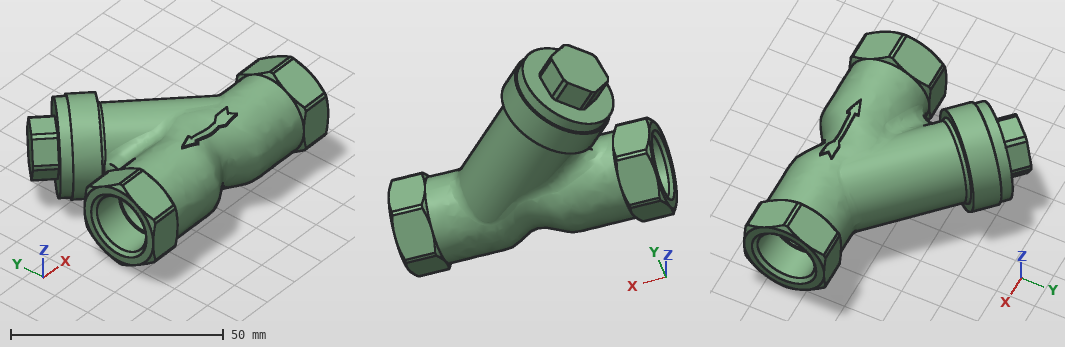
import cadquery as cq
import math


hexagon_half_angle = 30.0

run_length = 64.5
run_diameter = 21.0
wave_half_length = 9.0
wave_rise = 4.0
wave_steps = 8
straight_steps = 6

end_hex_length = 9.0
end_hex_flats = run_diameter
end_hex_corner_diameter = 23.75
end_hex_chamfer_angle = 30.0

passage_diameter = 13.9
port_diameter = 14.95
port_mouth_diameter = 16.9
port_mouth_angle = 45.0
port_depth = 9.0
plunger_diameter = passage_diameter
plunger_start = 2.95

branch_angle = 45.0
branch_foot_x = 11.8
branch_diameter = 20.0
branch_blend_radius = 3.9
collar_start = 33.2
collar_diameter = 25.0
collar_length = 6.9
shoulder_diameter = run_diameter
shoulder_length = 0.95
cap_disc_diameter = 24.0
cap_disc_length = 2.95
cap_hex_flats = 13.55
cap_hex_corner_diameter = 14.95
cap_hex_length = 6.1

arrow_height = 0.4
arrow_tip_x = -10.4
arrow_head_length = 4.25
arrow_head_half_width = 1.55
arrow_shaft_half_width = 0.65
arrow_tail_x = 8.1
arrow_tail_length = 5.6
arrow_tail_notch = 1.5
arrow_center_y = -1.1

run_end = run_length / 2
barrel_end = run_end - end_hex_length
branch_lean = math.radians(branch_angle)
branch_plane = cq.Plane(
    origin=(branch_foot_x, 0, 0),
    xDir=(math.sin(branch_lean), math.cos(branch_lean), 0),
    normal=(-math.cos(branch_lean), math.sin(branch_lean), 0),
)


def across_corners(across_flats):
    return across_flats / math.cos(math.radians(hexagon_half_angle))


def cylinder_x(diameter, start, end):
    return cq.Workplane("YZ").workplane(offset=start).circle(diameter / 2).extrude(end - start)


def on_branch(height):
    """Workplane square to the branch axis at a distance along it."""
    return cq.Workplane(branch_plane).workplane(offset=height)


def waved_run(diameter, half_length):
    """Round bar along X whose middle rises toward +Y in a smooth wave."""
    wave_pitch = 2 * wave_half_length / wave_steps
    straight_pitch = (half_length - wave_half_length) / straight_steps
    wave_stations = [-wave_half_length + wave_pitch * step for step in range(wave_steps + 1)]
    right_stations = [wave_half_length + straight_pitch * step for step in range(1, straight_steps + 1)]
    left_stations = [-x for x in reversed(right_stations)]

    sections = []
    for x in left_stations + wave_stations + right_stations:
        rise_fraction = 0.0
        if abs(x) < wave_half_length:
            rise_fraction = (1 + math.cos(math.pi * x / wave_half_length)) / 2
        section_plane = cq.Plane(
            origin=(x, wave_rise * rise_fraction, 0),
            xDir=(0, -1, 0),
            normal=(1, 0, 0),
        )
        sections.append(cq.Workplane(section_plane).circle(diameter / 2).wires().val())
    return cq.Workplane(cq.Solid.makeLoft(sections))


def end_hex():
    """Hexagon at the -X end, with its corners turned down and both ends chamfered."""
    hexagon = (
        cq.Workplane("YZ")
        .polygon(6, across_corners(end_hex_flats))
        .extrude(end_hex_length)
        .rotate((0, 0, 0), (1, 0, 0), hexagon_half_angle)
    )
    corner_height = (end_hex_corner_diameter - end_hex_flats) / 2
    chamfer_length = corner_height * math.tan(math.radians(end_hex_chamfer_angle))
    envelope = (
        cylinder_x(end_hex_corner_diameter, 0, end_hex_length)
        .faces("<X or >X")
        .chamfer(chamfer_length, corner_height)
    )
    return hexagon.intersect(envelope).translate((-run_end, 0, 0))


def port():
    """Port bore at the -X end with a chamfered mouth."""
    mouth_step = (port_mouth_diameter - port_diameter) / 2
    mouth_length = mouth_step / math.tan(math.radians(port_mouth_angle))
    bore = cylinder_x(port_diameter, -run_end, -run_end + port_depth)
    mouth = (
        cq.Workplane("YZ")
        .workplane(offset=-run_end)
        .circle(port_mouth_diameter / 2)
        .extrude(mouth_length, taper=port_mouth_angle)
    )
    return bore.union(mouth)


def cap():
    """Shoulder, collar, disc and wrench hexagon closing the branch."""
    disc_start = collar_start + collar_length
    hex_start = disc_start + cap_disc_length
    shoulder = (
        on_branch(collar_start)
        .circle(shoulder_diameter / 2)
        .workplane(offset=-shoulder_length)
        .circle(branch_diameter / 2)
        .loft()
    )
    collar = on_branch(collar_start).circle(collar_diameter / 2).extrude(collar_length)
    disc = on_branch(disc_start).circle(cap_disc_diameter / 2).extrude(cap_disc_length)
    hexagon = on_branch(hex_start).polygon(6, across_corners(cap_hex_flats)).extrude(cap_hex_length)
    corner_round = on_branch(hex_start).circle(cap_hex_corner_diameter / 2).extrude(cap_hex_length)
    return shoulder.union(collar).union(disc).union(hexagon.intersect(corner_round))


def flow_arrow():
    """Arrow pointing to -X, raised evenly above the +Z side of the run."""
    head_base_x = arrow_tip_x + arrow_head_length
    tail_start_x = arrow_tail_x - arrow_tail_length
    upper_side = [
        (head_base_x, arrow_head_half_width),
        (head_base_x, arrow_shaft_half_width),
        (tail_start_x, arrow_shaft_half_width),
        (tail_start_x + arrow_tail_notch, arrow_head_half_width),
        (arrow_tail_x, arrow_head_half_width),
    ]
    lower_side = [(x, -y) for x, y in reversed(upper_side)]
    outline = [(arrow_tip_x, 0)] + upper_side + [(arrow_tail_x - arrow_tail_notch, 0)] + lower_side
    raised_run = waved_run(run_diameter + 2 * arrow_height, barrel_end)
    prism = cq.Workplane("XY").polyline(outline).close().extrude(run_diameter)
    return prism.translate((0, arrow_center_y, 0)).intersect(raised_run)


def flow_passage():
    """Waved passage through the run, partly filled by a round plunger in line with the branch."""
    plunger = on_branch(plunger_start).circle(plunger_diameter / 2).extrude(collar_start - plunger_start)
    return waved_run(passage_diameter, run_end).cut(plunger)


def blended_body():
    """Run and branch joined by a fillet along their meeting curve, the longest edge of the pair."""
    branch = on_branch(0).circle(branch_diameter / 2).extrude(collar_start)
    joined = waved_run(run_diameter, barrel_end).union(branch)
    junction = max(joined.edges().vals(), key=lambda edge: edge.Length())
    return joined.newObject([junction]).fillet(branch_blend_radius)


left_hex = end_hex()
left_port = port()
result = (
    blended_body()
    .union(cap())
    .union(flow_arrow())
    .union(left_hex)
    .union(left_hex.mirror("YZ"))
    .cut(flow_passage())
    .cut(left_port)
    .cut(left_port.mirror("YZ"))
)